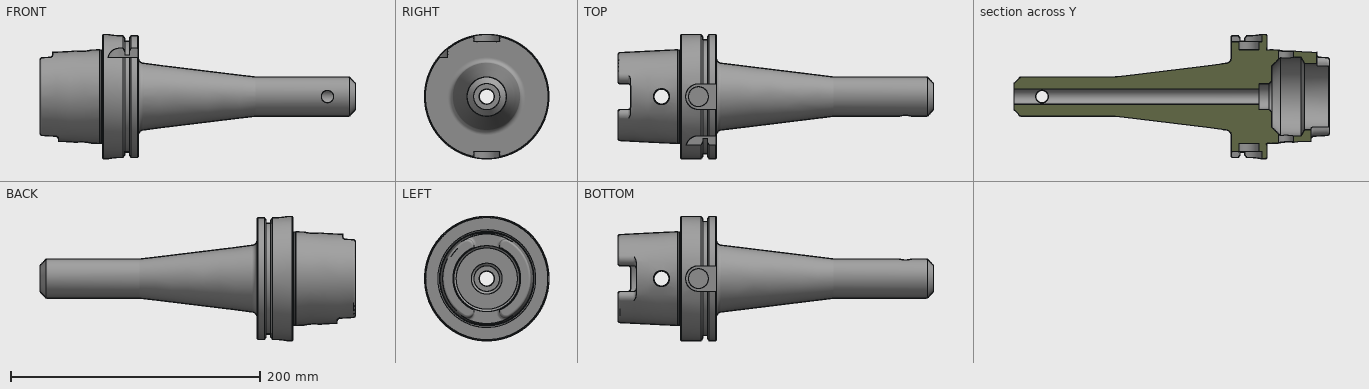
import cadquery as cq
import math


taper_half_slope = 0.05
taper_end_x = 47.5
taper_end_radius = 37.7
taper_mouth_radius = taper_end_radius - taper_half_slope * taper_end_x
mouth_round = 1.8

flange_start_x = 50.1
flange_width = 28.9
flange_end_x = flange_start_x + flange_width
flange_radius = 100.0 / 2
flange_chamfer_length = 0.8
flange_chamfer_drop = 1.0
flange_end_chamfer = 0.8
relief_start_x = 48.4
relief_end_x = 49.5
relief_radius = 37.5
face_recess_depth = 0.5
face_recess_outer_radius = 39.2
face_recess_inner_radius = 38.0

groove_start_x = 66.5
groove_front_x = 68.0
groove_back_x = 71.7
groove_end_x = 73.2
groove_shoulder_radius = 47.9
groove_bottom_radius = 45.8

neck_fillet = 4.3
neck_start_radius = 26.8
neck_end_x = 173.2
nose_radius = 31.6 / 2
nose_lead_x = 246.9
nose_lead_end_x = 248.5
nose_lead_radius = 15.7
tip_radius = 21.0 / 2
length = 253.2

mouth_bore_radius = 53.0 / 2
mouth_bore_chamfer = 0.8
mouth_bore_end_x = 20.0
chamber_radius = 63.0 / 2
chamber_cone_angle = 60
chamber_floor_x = 46.3
chamber_floor_radius = 24.5
counterbore_radius = 20.5 / 2
counterbore_mouth_radius = 24.8 / 2
counterbore_depth = 10.1
through_bore_radius = 12.0 / 2

key_half_width = 10.25
key_corner_round = 5.0
key_depth_top = 10.1
key_depth_bottom = 14.7
key_root_fillet = 2.0

slot_end_center_x = 64.5
slot_radius = 10.25
slot_floor_z = 44.0
slot_hole_diameter = 16.0
slot_hole_depth = 6.3
notch_corner = 31.5

taper_hole_x = 35.0
taper_hole_diameter = 12.0
taper_hole_chamfer = 0.5
nose_hole_x = 230.7
nose_hole_diameter = 10.0

clearance = 12.7
tolerance = 0.03


def make_body():
    neck_start_x = flange_end_x + neck_fillet
    diagonal = neck_fillet * math.sqrt(0.5)
    fillet_center_radius = neck_start_radius + neck_fillet
    profile = (
        cq.Workplane("XY")
        .lineTo(0, taper_mouth_radius)
        .lineTo(taper_end_x, taper_end_radius)
        .lineTo(relief_start_x, relief_radius)
        .lineTo(relief_end_x, relief_radius)
        .lineTo(flange_start_x + face_recess_depth, face_recess_inner_radius)
        .lineTo(flange_start_x, face_recess_outer_radius)
        .lineTo(flange_start_x, flange_radius - flange_chamfer_drop)
        .lineTo(flange_start_x + flange_chamfer_length, flange_radius)
        .lineTo(groove_start_x, flange_radius)
        .lineTo(groove_front_x, groove_shoulder_radius)
        .lineTo(groove_front_x, groove_bottom_radius)
        .lineTo(groove_back_x, groove_bottom_radius)
        .lineTo(groove_back_x, groove_shoulder_radius)
        .lineTo(groove_end_x, flange_radius)
        .lineTo(flange_end_x - flange_end_chamfer, flange_radius)
        .lineTo(flange_end_x, flange_radius - flange_end_chamfer)
        .lineTo(flange_end_x, fillet_center_radius)
        .threePointArc(
            (neck_start_x - diagonal, fillet_center_radius - diagonal),
            (neck_start_x, neck_start_radius),
        )
        .lineTo(neck_end_x, nose_radius)
        .lineTo(nose_lead_x, nose_radius)
        .lineTo(nose_lead_end_x, nose_lead_radius)
        .lineTo(length, tip_radius)
        .lineTo(length, 0)
        .close()
    )
    return profile.revolve(360, (0, 0, 0), (1, 0, 0))


def make_bore():
    cone_length = (chamber_radius - mouth_bore_radius) / math.tan(math.radians(chamber_cone_angle))
    floor_cone_depth = chamber_radius - chamber_floor_radius
    countersink_depth = counterbore_mouth_radius - counterbore_radius
    profile = (
        cq.Workplane("XY")
        .lineTo(0, mouth_bore_radius + mouth_bore_chamfer)
        .lineTo(mouth_bore_chamfer, mouth_bore_radius)
        .lineTo(mouth_bore_end_x, mouth_bore_radius)
        .lineTo(mouth_bore_end_x + cone_length, chamber_radius)
        .lineTo(chamber_floor_x - floor_cone_depth, chamber_radius)
        .lineTo(chamber_floor_x, chamber_floor_radius)
        .lineTo(chamber_floor_x, counterbore_mouth_radius)
        .lineTo(chamber_floor_x + countersink_depth, counterbore_radius)
        .lineTo(chamber_floor_x + counterbore_depth, counterbore_radius)
        .lineTo(chamber_floor_x + counterbore_depth, through_bore_radius)
        .lineTo(length, through_bore_radius)
        .lineTo(length, 0)
        .close()
    )
    return profile.revolve(360, (0, 0, 0), (1, 0, 0))


def is_slot_corner(edge):
    """Edge along X where a slot wall meets the outside of the taper."""
    center = edge.Center()
    on_wall = abs(abs(center.y) - key_half_width) < tolerance
    runs_along_x = edge.BoundingBox().xlen > tolerance
    return on_wall and runs_along_x and abs(center.z) > mouth_bore_radius and center.x < key_depth_bottom


def is_slot_root(edge, depth):
    """Straight edge where a slot wall meets the slot floor."""
    center = edge.Center()
    on_wall = abs(abs(center.y) - key_half_width) < tolerance
    return on_wall and abs(center.x - depth) < tolerance


def cut_key_slots(body):
    """Two slots across the mouth, deeper on -Z, with rounded corners, floors and mouth edges."""
    height = taper_end_radius + clearance
    depths = (key_depth_top, key_depth_bottom)
    for depth, side in zip(depths, (1, -1)):
        slot = cq.Workplane("XY").box(2 * depth, 2 * key_half_width, height)
        body = body.cut(slot.translate((0, 0, side * height / 2)))
    body = body.newObject([e for e in body.edges().vals() if is_slot_corner(e)]).fillet(key_corner_round)
    roots = [e for e in body.edges().vals() if any(is_slot_root(e, depth) for depth in depths)]
    body = body.newObject(roots).fillet(key_root_fillet)
    return body.faces("<X").edges().fillet(mouth_round)


def make_flange_cutter(center_y, floor_z):
    """End-mill path along X: round at its start, open past the back of the flange."""
    run = flange_end_x - slot_end_center_x + neck_fillet
    height = flange_radius + clearance - floor_z
    path = cq.Workplane("XY", origin=(slot_end_center_x, center_y, floor_z))
    channel = path.center(run / 2, 0).rect(run, 2 * slot_radius).extrude(height)
    return path.circle(slot_radius).extrude(height).union(channel)


def make_slot_cutter():
    hole = (
        cq.Workplane("XY", origin=(slot_end_center_x, 0, slot_floor_z - slot_hole_depth))
        .circle(slot_hole_diameter / 2)
        .extrude(slot_hole_depth)
    )
    return make_flange_cutter(0, slot_floor_z).union(hole)


def is_taper_hole_rim(edge):
    """Edge where the hole meets the outside of the taper."""
    center = edge.Center()
    near_hole = abs(center.x - taper_hole_x) < taper_hole_diameter / 2
    return near_hole and abs(center.z) > (chamber_radius + taper_mouth_radius) / 2


def cut_taper_hole(body):
    """Hole along Z through both taper walls, chamfered where it leaves the taper."""
    span = 2 * (taper_end_radius + clearance)
    hole = (
        cq.Workplane("XY", origin=(taper_hole_x, 0, -span / 2))
        .circle(taper_hole_diameter / 2)
        .extrude(span)
    )
    body = body.cut(hole)
    rims = [e for e in body.edges().vals() if is_taper_hole_rim(e)]
    return body.newObject(rims).chamfer(taper_hole_chamfer)


def make_nose_hole():
    """Radial hole on -Y that ends in the axial bore."""
    return (
        cq.Workplane("XZ", origin=(nose_hole_x, 0, 0))
        .circle(nose_hole_diameter / 2)
        .extrude(nose_radius + clearance)
    )


def turn_to_bottom(cutter):
    return cutter.rotate((0, 0, 0), (1, 0, 0), 180)


result = cut_key_slots(make_body())
result = result.cut(make_bore())
result = result.cut(make_slot_cutter())
result = result.cut(turn_to_bottom(make_slot_cutter()))
result = result.cut(make_flange_cutter(-(notch_corner + slot_radius), notch_corner))
result = cut_taper_hole(result)
result = result.cut(make_nose_hole())